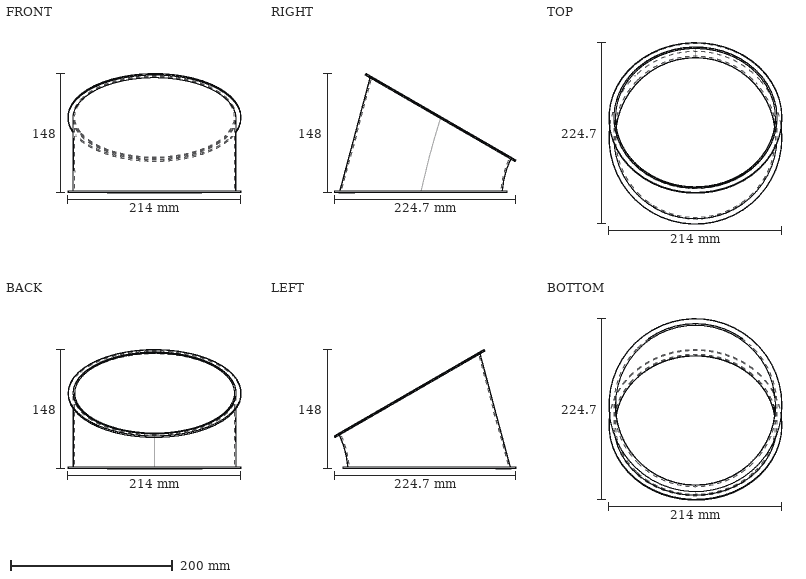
import cadquery as cq
import math

flange_radius = 214.0 / 2
flange_thickness = 2.0
tube_radius = 100.8
wall = 2.0
bend_angle = 30
top_offset = 25.0
top_rise = 93.5
throat_bow = 2.2
rim_recess = 0.5
lip_depth = 1.0
lip_half_width = 58.4

bore_radius = tube_radius - wall
x_axis = cq.Vector(1, 0, 0)


def tilted_normal(angle):
    """Unit vector tilted from +Z toward +Y."""
    tilt = math.radians(angle)
    return cq.Vector(0, math.sin(tilt), math.cos(tilt))


top_center = cq.Vector(0, top_offset, top_rise)
top_normal = tilted_normal(bend_angle)
middle_normal = tilted_normal(bend_angle / 2)
top_plane = cq.Plane(origin=top_center, xDir=x_axis, normal=top_normal)


def leaning_body(radius):
    """Loft between the two end circles, straight in front and bowed inward at the back."""
    bottom = cq.Wire.makeCircle(radius, cq.Vector(0, 0, 0), cq.Vector(0, 0, 1))
    top = cq.Wire.makeCircle(radius, top_center, top_normal)

    half_angle = math.radians(bend_angle / 2)
    half_depth = radius * math.cos(half_angle) - throat_bow / 2
    across = cq.Vector(0, math.cos(half_angle), -math.sin(half_angle))
    middle_center = top_center * 0.5 - across * (throat_bow / 2)
    middle = cq.Wire.makeEllipse(radius, half_depth, middle_center, middle_normal, x_axis)
    return cq.Workplane(cq.Solid.makeLoft([bottom, middle, top]))


def front_lip():
    """Shallow crescent under the lower flange on the long side of the tube."""
    ring = cq.Workplane("XY").circle(tube_radius).circle(bore_radius).extrude(-lip_depth)
    chord_distance = math.sqrt(tube_radius**2 - lip_half_width**2)
    keep = (
        cq.Workplane("XY")
        .center(0, -chord_distance)
        .rect(2 * tube_radius, 2 * tube_radius)
        .extrude(-lip_depth)
        .translate((0, -tube_radius, 0))
    )
    return ring.intersect(keep)


lower_flange = cq.Workplane("XY").circle(flange_radius).extrude(flange_thickness)
upper_flange = cq.Workplane(top_plane).circle(flange_radius).extrude(-flange_thickness)
result = lower_flange.union(upper_flange).union(leaning_body(tube_radius))
result = result.cut(leaning_body(bore_radius))

result = result.cut(cq.Workplane(top_plane).circle(tube_radius).extrude(-rim_recess))

result = result.union(front_lip())